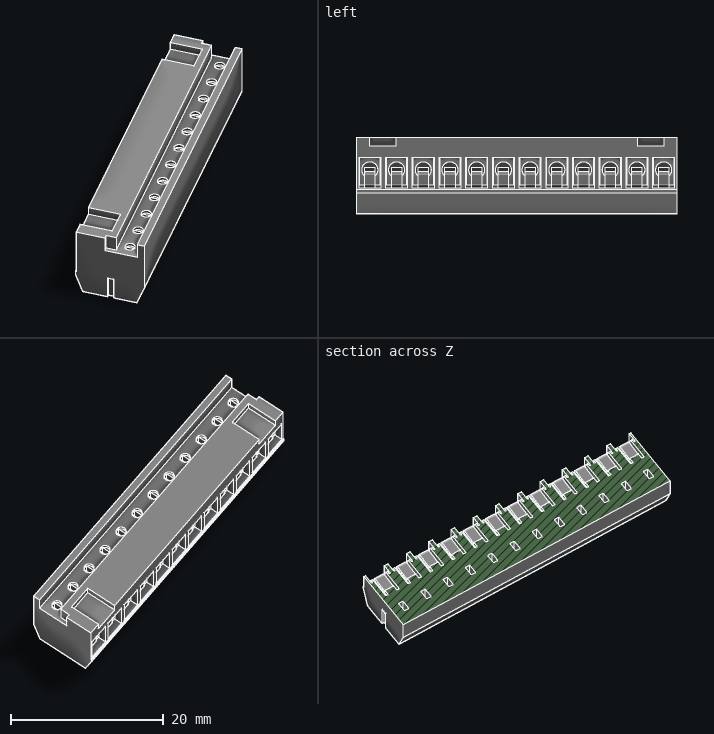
import cadquery as cq
import math

length = 42.0
width = 9.5
height = 10.0
poles = 12
pitch = length / poles

ledge_width = 0.13
ledge_height = 3.2
taper_height = 2.75
taper_inset = 1.0

channel_x = 5.45
rib_x = 8.53
channel_floor = 7.85

notch_x = 4.07
notch_length = 0.55

recess_x = 4.55
recess_depth = 1.15
recess_length = 3.53
recess_end_gap = 1.7

screw_x = 6.97
screw_radius = 0.67
screw_depth = 0.45
driver_slot_width = 0.65

entry_floor = 3.4
entry_top = 7.35
entry_depth = 1.0
entry_width = 2.9
plate_width = 2.65
plate_gap_depth = 0.4
undercut_height = 0.38

bore_radius = 1.05
bore_height = 5.75
bore_depth = 3.15

strip_width = 1.4
strip_stand_off = 0.13
strip_foot_radius = 0.45
strip_bend_radius = 0.38
leaf_height = 5.55
leaf_top = 6.1
leaf_length = 2.5
leaf_drop = 0.15
leaf_lean = math.radians(8)

key_x = 4.45
key_height = 3.2
key_depth = 0.35
key_mouth = 0.85
key_back = 0.7

back_x = ledge_width + entry_depth
strip_face = back_x - strip_stand_off


def box(x0, x1, y0, y1, z0, z1):
    """Axis-aligned block between two opposite corners."""
    return cq.Workplane("XY").box(x1 - x0, y1 - y0, z1 - z0, centered=False).translate((x0, y0, z0))


def make_body():
    """Full-length section with the screw channel."""
    section = [
        (taper_inset, 0),
        (width - taper_inset, 0),
        (width, taper_height),
        (width, height),
        (rib_x, height),
        (rib_x, channel_floor),
        (channel_x, channel_floor),
        (channel_x, height),
        (ledge_width, height),
        (ledge_width, ledge_height),
        (0, ledge_height),
        (0, taper_height),
    ]
    return cq.Workplane("XZ").polyline(section).close().extrude(length / 2, both=True)


def end_cuts(end):
    """Corner notch and label recess at one end; end is -1 or +1 along Y."""
    outer = end * length / 2
    notch = box(notch_x, channel_x, *sorted((outer, outer - end * notch_length)), channel_floor, height)
    near = outer - end * recess_end_gap
    far = near - end * recess_length
    recess = box(0, recess_x, *sorted((near, far)), height - recess_depth, height)
    return notch.union(recess)


def key_slot():
    """Shallow slot, open at the bottom, with one drafted side."""
    end = -length / 2
    outline = [
        (key_x, end),
        (key_x + key_mouth, end),
        (key_x + key_back, end + key_depth),
        (key_x, end + key_depth),
    ]
    return cq.Workplane("XY").polyline(outline).close().extrude(key_height)


def screw_hole():
    """Blind round hole with a driver slot running on to the bottom face."""
    hole = cq.Workplane("XY").circle(screw_radius).extrude(screw_depth)
    hole = hole.translate((screw_x, 0, channel_floor - screw_depth))
    half_slot = driver_slot_width / 2
    slot_start = screw_x - screw_radius
    slot_end = screw_x + screw_radius
    slot = box(slot_start, slot_end, -half_slot, half_slot, 0, channel_floor - screw_depth)
    return hole.union(slot)


def entry_pocket():
    """Pocket in the -X face; the back plate stands clear of its sides and floor."""
    half_entry = entry_width / 2
    half_plate = plate_width / 2
    gap_x = back_x + plate_gap_depth
    pocket = box(0, gap_x, -half_entry, half_entry, entry_floor, entry_top)
    plate = box(back_x, gap_x, -half_plate, half_plate, entry_floor + undercut_height, entry_top)
    return pocket.cut(plate)


def wire_bore():
    """Blind round bore running inward from the back wall of a pocket."""
    bore = cq.Workplane("YZ").workplane(offset=back_x).center(0, bore_height)
    return bore.circle(bore_radius).extrude(bore_depth)


def clamp_strip():
    """Strip with a curled foot, an upright face, a leaf sloping down into the bore and a leaning end."""
    root_x = back_x + bore_depth
    leaf_end = strip_face + leaf_length
    leaf_end_z = leaf_height - leaf_drop
    top_x = leaf_end - (leaf_top - leaf_end_z) * math.tan(leaf_lean)
    return (
        cq.Workplane("XZ")
        .moveTo(root_x, entry_floor)
        .lineTo(strip_face + strip_foot_radius, entry_floor)
        .radiusArc((strip_face, entry_floor + strip_foot_radius), strip_foot_radius)
        .lineTo(strip_face, leaf_height - strip_bend_radius)
        .radiusArc((strip_face + strip_bend_radius, leaf_height), strip_bend_radius)
        .lineTo(leaf_end, leaf_end_z)
        .lineTo(top_x, leaf_top)
        .lineTo(root_x, leaf_top)
        .close()
        .extrude(strip_width / 2, both=True)
    )


pole = screw_hole().union(entry_pocket()).union(wire_bore()).cut(clamp_strip())

result = make_body().cut(key_slot())
for side in (-1, 1):
    result = result.cut(end_cuts(side))
for index in range(poles):
    pole_y = (index - (poles - 1) / 2) * pitch
    result = result.cut(pole.translate((0, pole_y, 0)))